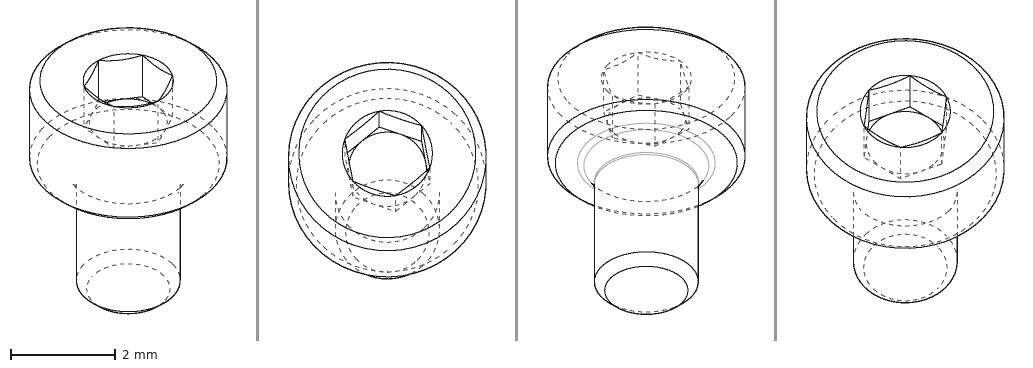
import cadquery as cq
import math

total_length = 5.0
head_height = 2.0
head_radius = 1.9
head_top_chamfer = 0.2
head_bottom_chamfer = 0.15

shank_radius = 1.0
shank_tip_chamfer = 0.2

neck_arc_radius = 1.425
neck_blend_radius = 0.15
neck_top_angle = 35.0
neck_bottom_angle = 17.0

socket_across_flats = 1.5
hexagon_turn = 30.0
socket_depth = 1.0
socket_tip_angle = 120.0
socket_mouth_angle = 130.0

top_z = total_length / 2
bottom_z = -total_length / 2
head_bottom_z = top_z - head_height


def cone_height(radius, included_angle):
    return radius / math.tan(math.radians(included_angle / 2))


def arc_step(radius, start_angle, end_angle):
    """Outward and upward travel of a concave arc that leans from start to end angle."""
    start = math.radians(start_angle)
    end = math.radians(end_angle)
    outward = radius * (math.cos(start) - math.cos(end))
    upward = radius * (math.sin(end) - math.sin(start))
    return outward, upward


def add_neck(profile):
    """Continue the profile from the shank to the underside of the head."""
    arcs = [
        (neck_blend_radius, 0, neck_bottom_angle),
        (neck_arc_radius, neck_bottom_angle, neck_top_angle),
        (neck_blend_radius, neck_top_angle, 90),
    ]
    neck_height = sum(arc_step(*arc)[1] for arc in arcs)
    x, z = shank_radius, head_bottom_z - neck_height
    profile = profile.lineTo(x, z)
    for radius, start_angle, end_angle in arcs:
        middle_out, middle_up = arc_step(radius, start_angle, (start_angle + end_angle) / 2)
        end_out, end_up = arc_step(radius, start_angle, end_angle)
        middle = (x + middle_out, z + middle_up)
        x, z = x + end_out, z + end_up
        profile = profile.threePointArc(middle, (x, z))
    return profile


def make_body():
    """Revolve the half section of the head, neck and shank."""
    profile = (
        cq.Workplane("XZ")
        .moveTo(0, bottom_z)
        .lineTo(shank_radius - shank_tip_chamfer, bottom_z)
        .lineTo(shank_radius, bottom_z + shank_tip_chamfer)
    )
    return (
        add_neck(profile)
        .lineTo(head_radius - head_bottom_chamfer, head_bottom_z)
        .lineTo(head_radius, head_bottom_z + head_bottom_chamfer)
        .lineTo(head_radius, top_z - head_top_chamfer)
        .lineTo(head_radius - head_top_chamfer, top_z)
        .lineTo(0, top_z)
        .close()
        .revolve(360, (0, 0), (0, 1))
    )


def downward_cone(radius, base_z, included_angle):
    """Cone with its round base at base_z and its tip below."""
    return (
        cq.Workplane("XZ")
        .moveTo(0, base_z)
        .lineTo(radius, base_z)
        .lineTo(0, base_z - cone_height(radius, included_angle))
        .close()
        .revolve(360, (0, 0), (0, 1))
    )


def make_socket():
    """Hexagonal pocket with a conical floor and a countersunk mouth."""
    corner_radius = socket_across_flats / math.sqrt(3)
    floor_z = top_z - socket_depth
    hexagon = (
        cq.Workplane("XY", origin=(0, 0, floor_z))
        .polygon(6, 2 * corner_radius)
        .extrude(socket_depth)
        .rotate((0, 0, 0), (0, 0, 1), hexagon_turn)
    )
    floor = downward_cone(socket_across_flats / 2, floor_z, socket_tip_angle)
    mouth = downward_cone(corner_radius, top_z, socket_mouth_angle)
    return hexagon.union(floor).union(mouth)


result = make_body().cut(make_socket())